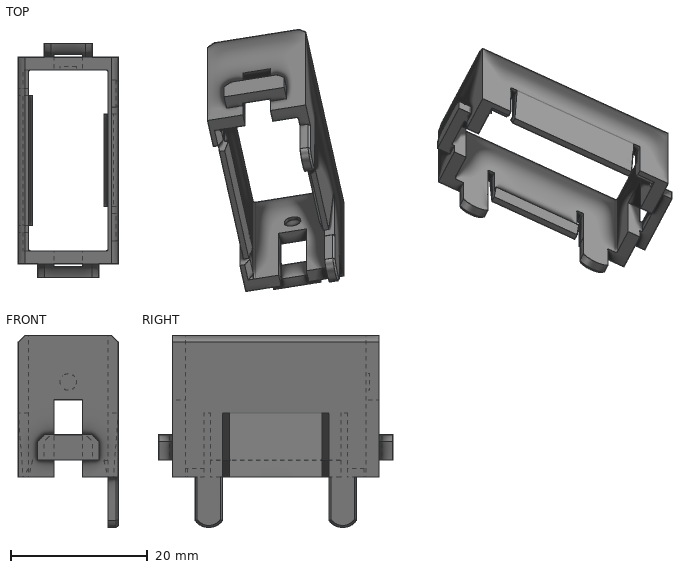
import cadquery as cq
import math

BODY_X = 14.6
BODY_Y = 30.2
BODY_Z = 20.7
TOP_CHAMFER = 1.0
SIDE_WALL = 1.5
END_WALL = 1.9
CORNER_RADIUS = 0.3

OUTER_X = BODY_X / 2
OUTER_Y = BODY_Y / 2
INNER_X = OUTER_X - SIDE_WALL
INNER_Y = OUTER_Y - END_WALL

HINGE_Z = 9.4
SLOT_WIDTH = 1.0
SLOT_CORNER_RADIUS = 0.2
LEFT_PANEL_WIDTH = 19.0
RIGHT_PANEL_WIDTH = 13.5
PANEL_TAPER = 0.7

HOOK_REACH = 0.6
HOOK_TIP_Z = 2.5
HOOK_RAKE = 15
HOOK_ROOT_RADIUS = 0.25

LEAD_IN_WIDTH = 0.8
LEAD_IN_HEIGHT = 1.3

WINDOW_WIDTH = 4.1
WINDOW_TOP = 11.3
TAB_REACH = 2.0
TAB_BOTTOM = 2.5
TAB_TOP = 6.2
TAB_CHAMFER = 1.0
TAB_RELIEF = 0.4
FRONT_TAB_WIDTH = 8.95
BACK_TAB_WIDTH = 7.05

LEG_WIDTH = 4.0
LEG_LENGTH = 7.35
LEG_CENTER_Y = 9.77
LEG_TIP_RISE = 1.05
LEG_CHAMFER = 0.3

RECESS_RADIUS = 1.2
RECESS_DEPTH = 0.5
RECESS_Z = 13.9


def box(x_range, y_range, z_range):
    """Box spanning three (low, high) coordinate ranges."""
    size = [high - low for low, high in (x_range, y_range, z_range)]
    corner = (x_range[0], y_range[0], z_range[0])
    return cq.Workplane("XY").box(*size, centered=False).translate(corner)


def make_shell():
    """Rectangular tube with chamfered long top edges."""
    block = box((-OUTER_X, OUTER_X), (-OUTER_Y, OUTER_Y), (0, BODY_Z))
    block = block.faces(">Z").edges("|Y").chamfer(TOP_CHAMFER)
    opening = box((-INNER_X, INNER_X), (-INNER_Y, INNER_Y), (0, BODY_Z))
    return block.cut(opening.edges("|Z").fillet(CORNER_RADIUS))


def make_lead_in():
    """Wedge that widens the bottom of the opening at the left wall."""
    profile = [
        (-INNER_X, 0),
        (-INNER_X - LEAD_IN_WIDTH, 0),
        (-INNER_X, LEAD_IN_HEIGHT),
    ]
    return cq.Workplane("XZ").polyline(profile).close().extrude(INNER_Y, both=True)


def add_panel(body, side, width):
    """Replace part of a side wall (side = -1 or +1) by a hooked panel between two slots."""
    half_gap = width / 2 + SLOT_WIDTH
    x_range = sorted((side * INNER_X, side * OUTER_X))
    gap = box(x_range, (-half_gap, half_gap), (0, HINGE_Z))
    gap = gap.faces(">Z").edges("|X").fillet(SLOT_CORNER_RADIUS)

    hook_tip_x = INNER_X - HOOK_REACH
    root_z = HOOK_TIP_Z - HOOK_REACH * math.tan(math.radians(HOOK_RAKE))
    profile = [
        (side * OUTER_X, HINGE_Z),
        (side * INNER_X, HINGE_Z),
        (side * INNER_X, root_z),
        (side * hook_tip_x, HOOK_TIP_Z),
        (side * INNER_X, 0),
        (side * (OUTER_X - PANEL_TAPER), 0),
    ]
    panel = cq.Workplane("XZ").polyline(profile).close().extrude(width / 2, both=True)
    root = cq.selectors.NearestToPointSelector((side * INNER_X, 0, root_z))
    panel = panel.edges(root).fillet(HOOK_ROOT_RADIUS)
    return body.cut(gap).union(panel)


def make_tab(end, width):
    """Latch tab on an end wall (end = -1 or +1), with chamfered upper corners."""
    y_range = sorted((end * OUTER_Y, end * (OUTER_Y + TAB_REACH)))
    tab = box((-width / 2, width / 2), y_range, (TAB_BOTTOM, TAB_TOP))
    return tab.faces(">Z").edges("|Y").chamfer(TAB_CHAMFER)


def make_window():
    """Cutter through both end walls, reaching slightly into the tabs."""
    half_length = OUTER_Y + TAB_RELIEF
    half_width = WINDOW_WIDTH / 2
    return box((-half_width, half_width), (-half_length, half_length), (0, WINDOW_TOP))


def make_leg(center_y):
    """Flat leg with an arched tip and chamfered outer edges."""
    half = LEG_WIDTH / 2
    tip_start = -LEG_LENGTH + LEG_TIP_RISE
    leg = (
        cq.Workplane("YZ", origin=(INNER_X, center_y, 0))
        .moveTo(-half, 0)
        .lineTo(-half, tip_start)
        .threePointArc((0, -LEG_LENGTH), (half, tip_start))
        .lineTo(half, 0)
        .close()
        .extrude(SIDE_WALL)
    )
    return leg.faces(">X").edges("not >Z").chamfer(LEG_CHAMFER)


def make_recess():
    """Cylinder cutter entering the inner face of the back wall."""
    start = cq.Workplane("XZ", origin=(0, INNER_Y, RECESS_Z))
    return start.circle(RECESS_RADIUS).extrude(-RECESS_DEPTH)


body = make_shell().cut(make_lead_in()).cut(make_recess())
body = body.union(make_tab(-1, FRONT_TAB_WIDTH)).union(make_tab(1, BACK_TAB_WIDTH))
body = body.cut(make_window())
body = add_panel(body, -1, LEFT_PANEL_WIDTH)
body = add_panel(body, 1, RIGHT_PANEL_WIDTH)
for leg_y in (-LEG_CENTER_Y, LEG_CENTER_Y):
    body = body.union(make_leg(leg_y))
result = body